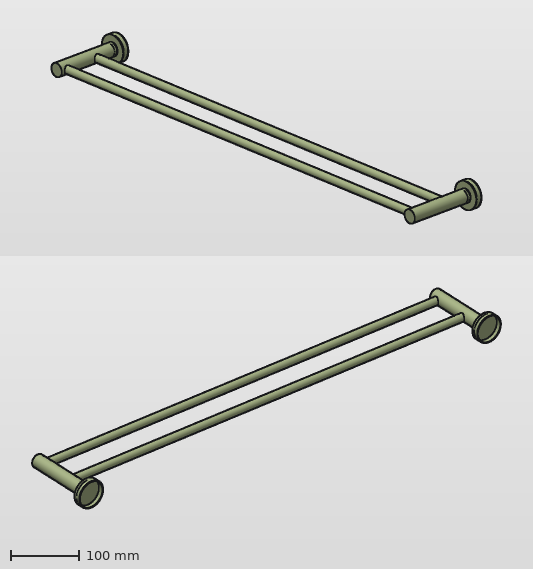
import cadquery as cq

overall_length = 795.0
overall_depth = 124.0
flange_diameter = 45.0
flange_thickness = 11.0
flange_rim_wall = 1.5
flange_face_wall = 3.0
post_diameter = 22.0
socket_wall = 1.5
spigot_length = 5.0
bar_diameter = 13.5
front_bar_inset = 13.0
bar_spacing = 60.5

post_x = (overall_length - flange_diameter) / 2
front_bar_y = front_bar_inset - overall_depth
bar_ys = [front_bar_y, front_bar_y + bar_spacing]
post_length = overall_depth - flange_thickness
cavity_diameter = flange_diameter - 2 * flange_rim_wall
cavity_depth = flange_thickness - flange_face_wall
spigot_diameter = post_diameter - 2 * socket_wall


def cylinder_from_wall(x, start_depth, diameter, length):
    """Cylinder pointing towards -Y that starts at a depth in front of the wall."""
    return (
        cq.Workplane("XZ", origin=(x, -start_depth, 0))
        .circle(diameter / 2)
        .extrude(length)
    )


def make_spigot(x):
    """Short round spigot on the flange face; it also shapes the matching socket in the post."""
    return cylinder_from_wall(x, flange_thickness, spigot_diameter, spigot_length)


def make_flange(x):
    """Round wall flange with a hollow back and a spigot on its front face."""
    disc = cylinder_from_wall(x, 0, flange_diameter, flange_thickness)
    cavity = cylinder_from_wall(x, 0, cavity_diameter, cavity_depth)
    return disc.cut(cavity).union(make_spigot(x))


def make_post(x):
    """Round post standing on the flange face, with a socket that receives the spigot."""
    post = cylinder_from_wall(x, flange_thickness, post_diameter, post_length)
    return post.cut(make_spigot(x))


def make_bar(y):
    """Towel bar along X between the post axes, before its ends are fitted to the posts."""
    return (
        cq.Workplane("YZ", origin=(-post_x, y, 0))
        .circle(bar_diameter / 2)
        .extrude(2 * post_x)
    )


def fit_between_posts(bar, posts):
    """Cope the bar ends so that they butt against the round sides of the posts."""
    for post in posts:
        bar = bar.cut(post)
    return bar


flanges = []
posts = []
for x in (-post_x, post_x):
    flanges.append(make_flange(x))
    posts.append(make_post(x))

bars = []
for y in bar_ys:
    bars.append(fit_between_posts(make_bar(y), posts))

result = cq.Compound.makeCompound([body.val() for body in flanges + posts + bars])